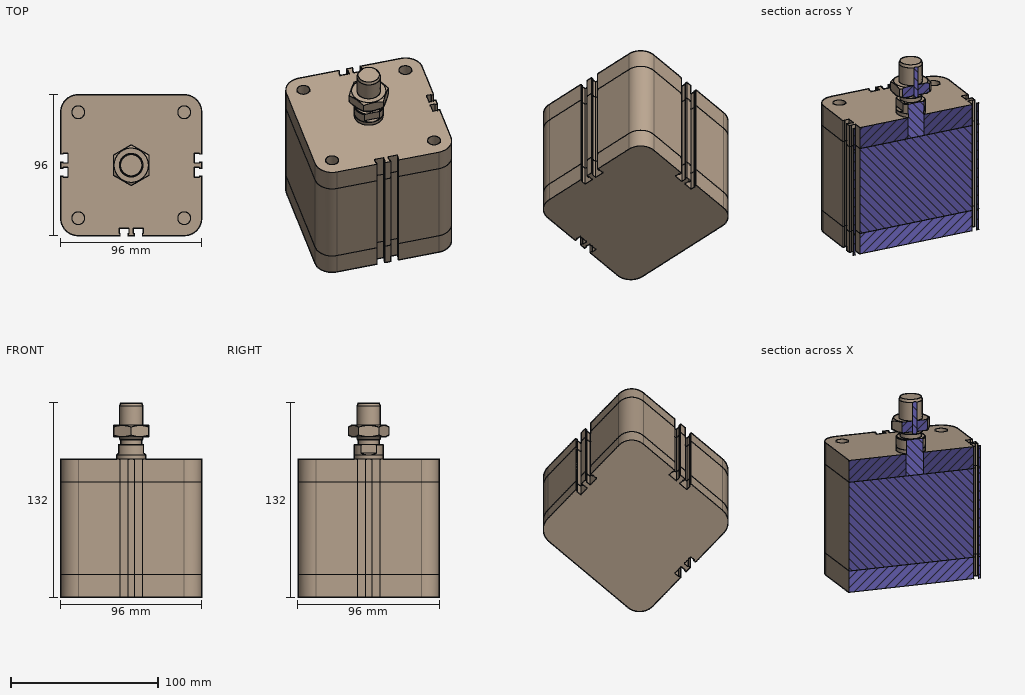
import cadquery as cq
import math

body_width = 96.0
corner_radius = 12.0
cap_height = 15.5
tube_height = 63.0
top_cap_base = cap_height + tube_height
body_height = top_cap_base + cap_height

groove_offset = 4.8
groove_depth = 5.0
groove_mouth_width = 5.4
groove_inner_width = 6.5
groove_lip = 1.7
groove_side_angles = (0, 90, -90)

mount_spacing = 72.0
mount_diameter = 8.7

rod_diameter = 19.8
collar_diameter = 20.0
collar_base = body_height + 2.7
collar_top = body_height + 10.0
collar_chamfer = 0.5
flats_width = 17.0
flats_base = body_height + 4.0
thread_diameter = 16.0
thread_relief_diameter = 14.5
thread_base = body_height + 13.0
thread_base_chamfer = 0.5
rod_top = body_height + 38.0
rod_tip_diameter = 14.5
rod_tip_length = 2.0

nut_width = 24.0
nut_height = 8.0
nut_base = body_height + 15.0
nut_face_diameter = 0.97 * nut_width
nut_chamfer_angle = math.radians(30)
hex_turn_degrees = 30


def make_groove(side_angle, offset, base, height):
    """Vertical T-shaped groove cut into the side that faces -Y before turning by side_angle."""
    outer_face = -body_width / 2
    inner_depth = groove_depth - groove_lip
    mouth = (
        cq.Workplane("XY", origin=(offset, outer_face + groove_depth / 2, base))
        .rect(groove_mouth_width, groove_depth)
        .extrude(height)
    )
    undercut = (
        cq.Workplane("XY", origin=(offset, outer_face + groove_lip + inner_depth / 2, base))
        .rect(groove_inner_width, inner_depth)
        .extrude(height)
    )
    return mouth.union(undercut).rotate((0, 0, 0), (0, 0, 1), side_angle)


def make_profile_block(base, height):
    """Block with the rounded square profile and its side grooves."""
    block = (
        cq.Workplane("XY", origin=(0, 0, base))
        .rect(body_width, body_width)
        .extrude(height)
        .edges("|Z")
        .fillet(corner_radius)
    )
    for side_angle in groove_side_angles:
        for offset in (-groove_offset, groove_offset):
            block = block.cut(make_groove(side_angle, offset, base, height))
    return block


def make_top_cap():
    """End cap with the rod bore and four mounting holes."""
    rod_bore = cq.Workplane("XY", origin=(0, 0, top_cap_base)).circle(rod_diameter / 2).extrude(cap_height)
    mount_holes = (
        cq.Workplane("XY", origin=(0, 0, top_cap_base))
        .rect(mount_spacing, mount_spacing, forConstruction=True)
        .vertices()
        .circle(mount_diameter / 2)
        .extrude(cap_height)
    )
    return make_profile_block(top_cap_base, cap_height).cut(rod_bore).cut(mount_holes)


def make_rod():
    """Turned rod with a collar, thread relief and thread, then two wrench flats on the collar."""
    rod_radius = rod_diameter / 2
    collar_radius = collar_diameter / 2
    relief_radius = thread_relief_diameter / 2
    thread_radius = thread_diameter / 2
    rod = (
        cq.Workplane("XZ")
        .moveTo(0, top_cap_base)
        .lineTo(rod_radius, top_cap_base)
        .lineTo(rod_radius, collar_base)
        .lineTo(collar_radius, collar_base)
        .lineTo(collar_radius, collar_top - collar_chamfer)
        .lineTo(collar_radius - collar_chamfer, collar_top)
        .lineTo(relief_radius, collar_top)
        .lineTo(relief_radius, thread_base)
        .lineTo(thread_radius - thread_base_chamfer, thread_base)
        .lineTo(thread_radius, thread_base + thread_base_chamfer)
        .lineTo(thread_radius, rod_top - rod_tip_length)
        .lineTo(rod_tip_diameter / 2, rod_top)
        .lineTo(0, rod_top)
        .close()
        .revolve(360, (0, 0, 0), (0, 1, 0))
    )

    flat_half = flats_width / 2
    flat_cut = (
        cq.Workplane("XZ")
        .moveTo(flat_half, collar_top)
        .lineTo(flat_half, flats_base)
        .lineTo(collar_radius, collar_base)
        .lineTo(collar_radius, collar_top)
        .close()
        .extrude(collar_radius, both=True)
    )
    return rod.cut(flat_cut).cut(flat_cut.mirror("YZ"))


def make_nut():
    """Hexagonal nut with flats facing X and both rims chamfered by a cone."""
    corner_diameter = nut_width / math.cos(math.pi / 6)
    nut_top = nut_base + nut_height
    hexagon = (
        cq.Workplane("XY", origin=(0, 0, nut_base))
        .transformed(rotate=(0, 0, hex_turn_degrees))
        .polygon(6, corner_diameter)
        .extrude(nut_height)
    )
    face_radius = nut_face_diameter / 2
    hex_corner_radius = corner_diameter / 2
    chamfer_height = (hex_corner_radius - face_radius) * math.tan(nut_chamfer_angle)
    rim_envelope = (
        cq.Workplane("XZ")
        .moveTo(0, nut_base)
        .lineTo(face_radius, nut_base)
        .lineTo(hex_corner_radius, nut_base + chamfer_height)
        .lineTo(hex_corner_radius, nut_top - chamfer_height)
        .lineTo(face_radius, nut_top)
        .lineTo(0, nut_top)
        .close()
        .revolve(360, (0, 0, 0), (0, 1, 0))
    )
    bore = cq.Workplane("XY", origin=(0, 0, nut_base)).circle(thread_diameter / 2).extrude(nut_height)
    return hexagon.intersect(rim_envelope).cut(bore)


bottom_cap = make_profile_block(0, cap_height)
tube = make_profile_block(cap_height, tube_height)
top_cap = make_top_cap()
rod = make_rod()
nut = make_nut()

result = cq.Compound.makeCompound([bottom_cap.val(), tube.val(), top_cap.val(), rod.val(), nut.val()])